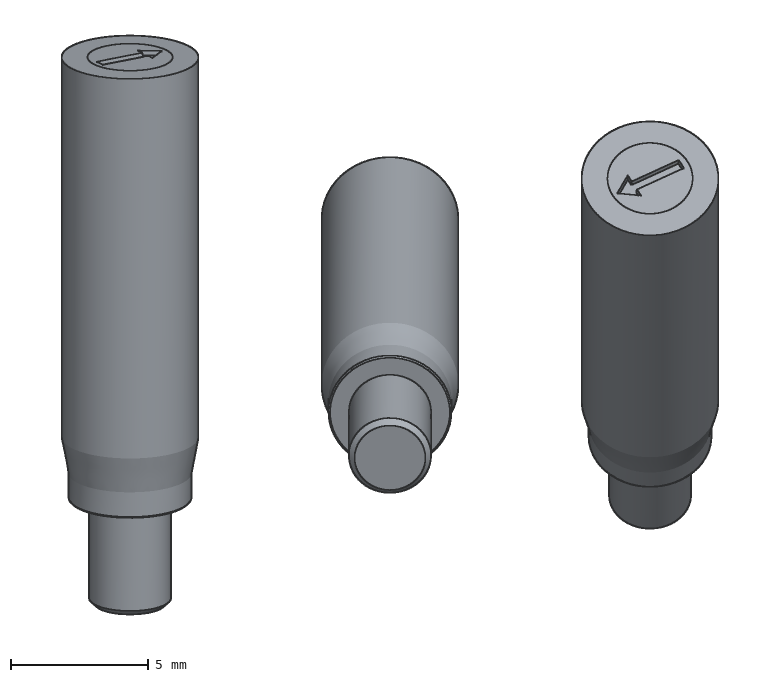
import cadquery as cq

total_length = 21.0

barrel_diameter = 5.0
collar_diameter = 4.5
barrel_bottom = 6.4
taper_bottom = 5.02
collar_bottom = 4.01
collar_chamfer = 0.06

dial_diameter = 3.1
dial_depth = 3.1

arrow_tip = 1.36
arrow_head_base = 0.65
arrow_tail = -1.3
arrow_head_width = 1.0
arrow_shaft_width = 0.4
arrow_depth = 0.17
arrow_wall_angle = 12.0
arrow_turn = 1.3

stem_diameter = 3.0
stem_chamfer = 0.2
stem_socket_depth = 3.0


def cylinder(diameter, bottom, top):
    """Upright cylinder on the Z axis between two heights."""
    return cq.Workplane("XY").workplane(offset=bottom).circle(diameter / 2).extrude(top - bottom)


def make_sleeve():
    """Turned sleeve with a recess for the dial on top and a socket for the stem below."""
    barrel_radius = barrel_diameter / 2
    collar_radius = collar_diameter / 2
    body = (
        cq.Workplane("XZ")
        .moveTo(0, collar_bottom)
        .lineTo(collar_radius - collar_chamfer, collar_bottom)
        .lineTo(collar_radius, collar_bottom + collar_chamfer)
        .lineTo(collar_radius, taper_bottom)
        .lineTo(barrel_radius, barrel_bottom)
        .lineTo(barrel_radius, total_length)
        .lineTo(0, total_length)
        .close()
        .revolve(360, (0, 0, 0), (0, 1, 0))
    )
    dial_recess = cylinder(dial_diameter, total_length - dial_depth, total_length)
    stem_socket = cylinder(stem_diameter, collar_bottom, collar_bottom + stem_socket_depth)
    return body.cut(dial_recess).cut(stem_socket)


def make_arrow_pocket():
    """Arrow-shaped cutter with drafted walls, turned slightly about the Z axis."""
    half_head = arrow_head_width / 2
    half_shaft = arrow_shaft_width / 2
    outline = [
        (0, arrow_tip),
        (half_head, arrow_head_base),
        (half_shaft, arrow_head_base),
        (half_shaft, arrow_tail),
        (-half_shaft, arrow_tail),
        (-half_shaft, arrow_head_base),
        (-half_head, arrow_head_base),
    ]
    return (
        cq.Workplane("XY")
        .workplane(offset=total_length)
        .polyline(outline)
        .close()
        .extrude(-arrow_depth, taper=arrow_wall_angle)
        .rotate((0, 0, 0), (0, 0, 1), arrow_turn)
    )


def make_dial():
    """Dial insert with the arrow sunk into its top face."""
    disc = cylinder(dial_diameter, total_length - dial_depth, total_length)
    return disc.cut(make_arrow_pocket())


def make_stem():
    """Stem from its socket in the sleeve down to a chamfered end."""
    peg = cylinder(stem_diameter, 0, collar_bottom + stem_socket_depth)
    return peg.faces("<Z").edges().chamfer(stem_chamfer)


sleeve = make_sleeve()
dial = make_dial()
stem = make_stem()

result = cq.Compound.makeCompound([sleeve.val(), dial.val(), stem.val()])